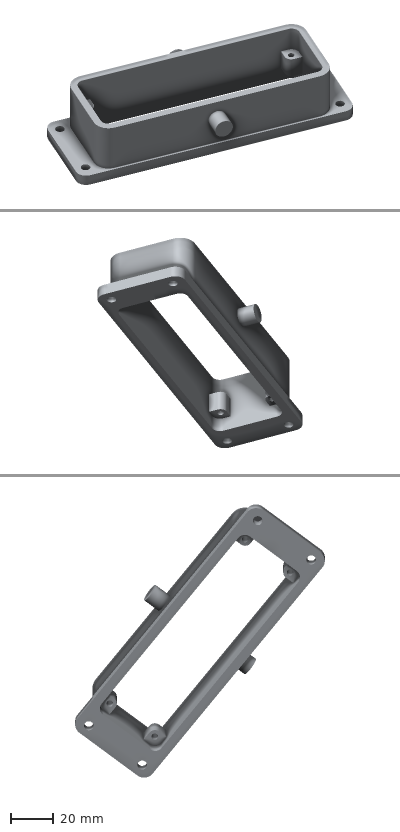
import cadquery as cq

wall_width = 43.0
wall_length = 120.0
wall_thickness = 3.5
wall_corner_radius = 7.5
opening_width = wall_width - 2 * wall_thickness
opening_length = wall_length - 2 * wall_thickness
opening_corner_radius = wall_corner_radius - wall_thickness

flange_width = 45.0
flange_length = 141.0
flange_corner_radius = 5.1
flange_hole_diameter = 4.5
flange_hole_spacing_x = 32.0
flange_hole_spacing_y = 130.0

total_height = 29.5
gasket_thickness = 1.5
flange_top = 5.5
rim_height = 5.5
rim_bottom = total_height - rim_height

boss_hole_diameter = 3.1
boss_hole_spacing_x = 27.0
boss_hole_spacing_y = 104.0
boss_edge_radius = 3.2
boss_height = 10.0
boss_top = 17.2
boss_bottom = boss_top - boss_height

pin_span = 60.0
pin_diameter = 9.0
pin_center_z = rim_bottom - pin_diameter / 2


def rounded_block(width, length, corner_radius, bottom, top):
    """Upright block centred on the Z axis, with rounded vertical edges."""
    return (
        cq.Workplane("XY", origin=(0, 0, bottom))
        .rect(width, length)
        .extrude(top - bottom)
        .edges("|Z")
        .fillet(corner_radius)
    )


def wall_block(bottom, top):
    """Solid block with the outer outline of the wall."""
    return rounded_block(wall_width, wall_length, wall_corner_radius, bottom, top)


def opening_block(bottom, top):
    """Solid block that fills the inside of the wall."""
    return rounded_block(opening_width, opening_length, opening_corner_radius, bottom, top)


def corner_cylinders(spacing_x, spacing_y, diameter, bottom, top):
    """Four upright cylinders on a rectangular pattern, used as hole cutters."""
    return (
        cq.Workplane("XY", origin=(0, 0, bottom))
        .rect(spacing_x, spacing_y, forConstruction=True)
        .vertices()
        .circle(diameter / 2)
        .extrude(top - bottom)
    )


def flange_plate(bottom, top):
    """Solid flange plate with its four mounting holes."""
    plate = rounded_block(flange_width, flange_length, flange_corner_radius, bottom, top)
    holes = corner_cylinders(
        flange_hole_spacing_x, flange_hole_spacing_y, flange_hole_diameter, bottom, top
    )
    return plate.cut(holes)


def make_bosses():
    """Four drilled bosses that fill the corners of the opening, each rounded about its hole."""
    pad_inner_x = boss_hole_spacing_x / 2 - boss_edge_radius
    pad_inner_y = boss_hole_spacing_y / 2 - boss_edge_radius
    pad_outer_x = opening_width / 2 + boss_edge_radius
    pad_outer_y = opening_length / 2 + boss_edge_radius
    pads = (
        cq.Workplane("XY", origin=(0, 0, boss_bottom))
        .rect(pad_inner_x + pad_outer_x, pad_inner_y + pad_outer_y, forConstruction=True)
        .vertices()
        .rect(pad_outer_x - pad_inner_x, pad_outer_y - pad_inner_y)
        .extrude(boss_height)
        .edges("|Z")
        .fillet(boss_edge_radius)
    )
    holes = corner_cylinders(
        boss_hole_spacing_x, boss_hole_spacing_y, boss_hole_diameter, boss_bottom, boss_top
    )
    return pads.intersect(opening_block(boss_bottom, boss_top)).cut(holes)


def make_pin_bar():
    """Round bar across the full pin span; cutting the opening leaves a pin on each side."""
    return (
        cq.Workplane("YZ", origin=(-pin_span / 2, 0, pin_center_z))
        .circle(pin_diameter / 2)
        .extrude(pin_span)
    )


def make_gasket():
    """Flat gasket under the flange."""
    return flange_plate(0, gasket_thickness).cut(opening_block(0, gasket_thickness))


def make_housing():
    """Flanged frame with two side pins and four inner bosses."""
    shell = (
        flange_plate(gasket_thickness, flange_top)
        .union(wall_block(gasket_thickness, rim_bottom))
        .union(make_pin_bar())
        .cut(opening_block(gasket_thickness, rim_bottom))
    )
    return shell.union(make_bosses())


def make_rim_ring():
    """Ring that sits on top of the housing wall."""
    return wall_block(rim_bottom, total_height).cut(opening_block(rim_bottom, total_height))


gasket = make_gasket()
housing = make_housing()
rim_ring = make_rim_ring()

result = cq.Compound.makeCompound([gasket.val(), housing.val(), rim_ring.val()])